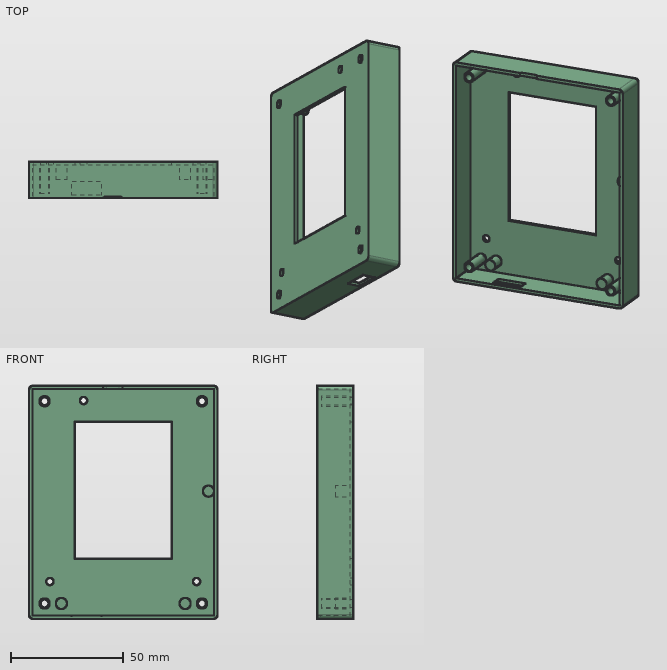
import cadquery as cq

WIDTH = 84.0
DEPTH = 16.2
HEIGHT = 104.0
WALL = 1.6
FLOOR = 1.5
CORNER_RADIUS = 2.0
FRONT_Y = -DEPTH / 2
FLOOR_Y = DEPTH / 2 - FLOOR

WINDOW_WIDTH = 43.2
WINDOW_HEIGHT = 60.9
WINDOW_CENTER_Z = 5.4

SCREW_HOLE_RADIUS = 1.6
SCREW_HOLE_POINTS = [(-17.7, 45.3), (-32.7, -35.3), (32.7, -35.3)]

POST_RADIUS = 2.5
POST_LENGTH = 6.5
POST_POINTS = [(-27.6, -45.0), (27.6, -45.0), (38.0, 5.0)]

STANDOFF_RADIUS = 2.3
STANDOFF_BORE_RADIUS = 1.8
STANDOFF_X = 35.0
STANDOFF_Z = 45.0
STANDOFF_RECESS = 2.0
STANDOFF_LENGTH = FLOOR_Y - FRONT_Y - STANDOFF_RECESS
STANDOFF_POINTS = [(x, z) for x in (-STANDOFF_X, STANDOFF_X) for z in (-STANDOFF_Z, STANDOFF_Z)]

NOTCH_RADIUS = 1.9
NOTCH_FLAT = 5.5
NOTCH_DEPTH = 0.7
NOTCH_CENTER_X = -4.7

PORT_LENGTH = 13.2
PORT_DEPTH = 6.0
PORT_LEFT_X = -23.0
PORT_FRONT_GAP = 1.5


def cylinders(points, radius, start_y, length):
    """Cylinders of one size that run toward +Y from start_y."""
    plane = cq.Workplane("XZ", origin=(0, start_y, 0))
    return plane.pushPoints(points).circle(radius).extrude(-length)


def make_tray():
    outer = cq.Workplane("XY").box(WIDTH, DEPTH, HEIGHT).edges("|Y").fillet(CORNER_RADIUS)
    cavity_depth = DEPTH - FLOOR
    cavity = cq.Workplane("XY").box(WIDTH - 2 * WALL, cavity_depth, HEIGHT - 2 * WALL)
    return outer.cut(cavity.translate((0, -FLOOR / 2, 0)))


def make_window():
    window = cq.Workplane("XY").box(WINDOW_WIDTH, FLOOR, WINDOW_HEIGHT)
    return window.translate((0, FLOOR_Y + FLOOR / 2, WINDOW_CENTER_Z))


def make_notch():
    center_y = FRONT_Y + NOTCH_DEPTH - NOTCH_RADIUS
    plane = cq.Workplane("XY", origin=(NOTCH_CENTER_X, center_y, HEIGHT / 2))
    return plane.slot2D(NOTCH_FLAT + 2 * NOTCH_RADIUS, 2 * NOTCH_RADIUS).extrude(-WALL)


def make_port():
    corner = (PORT_LEFT_X, FRONT_Y + PORT_FRONT_GAP, -HEIGHT / 2)
    return cq.Workplane("XY", origin=corner).box(PORT_LENGTH, PORT_DEPTH, WALL, centered=False)


def make_housing():
    housing = make_tray()
    housing = housing.union(cylinders(POST_POINTS, POST_RADIUS, FLOOR_Y - POST_LENGTH, POST_LENGTH))
    housing = housing.cut(make_window())
    housing = housing.cut(cylinders(SCREW_HOLE_POINTS, SCREW_HOLE_RADIUS, FLOOR_Y, FLOOR))
    housing = housing.cut(cylinders(STANDOFF_POINTS, STANDOFF_BORE_RADIUS, FLOOR_Y, FLOOR))
    return housing.cut(make_notch()).cut(make_port())


def make_standoff(point):
    """Tube that stands on the floor of the housing."""
    start_y = FLOOR_Y - STANDOFF_LENGTH
    tube = cylinders([point], STANDOFF_RADIUS, start_y, STANDOFF_LENGTH)
    return tube.cut(cylinders([point], STANDOFF_BORE_RADIUS, start_y, STANDOFF_LENGTH))


housing = make_housing()
standoffs = [make_standoff(point) for point in STANDOFF_POINTS]
result = cq.Compound.makeCompound([housing.val(), *[standoff.val() for standoff in standoffs]])